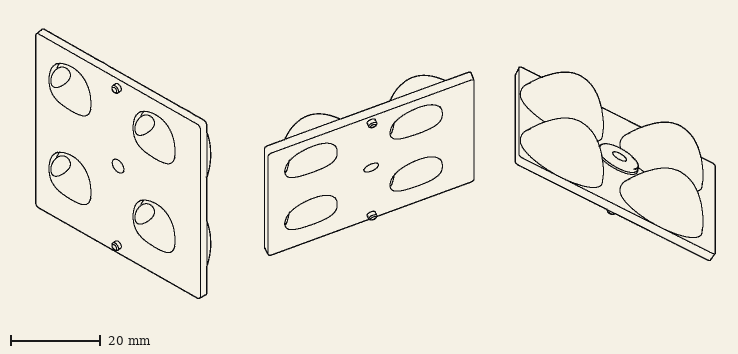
import cadquery as cq
import math

plate_size = 50.0
plate_thickness = 2.0
plate_corner_radius = 1.0
plate_draft_angle = 3.0

pin_diameter = 2.0
pin_length = 1.25
pin_tip_chamfer = 0.3
pin_offset = 22.5

hole_diameter = 3.5
boss_diameter = 10.0
boss_height = 1.1
boss_rim_radius = 0.35
boss_foot_height = 0.35
boss_foot_width = 0.25

lens_pitch = 25.4

dome_height = 9.7
dome = {
    "height": plate_thickness + dome_height,
    "base": plate_thickness,
    "centre": (1.7, -3.4),
    "apex_shift": (0.0, 0.0),
    "reach": {"right": 10.3, "up": 14.0, "left": 10.6, "down": 8.9},
    "fullness": {"right": 1.0, "up": 1.2, "left": 1.2, "down": 3.5},
    "squareness": {"up": 2.0, "down": 2.0},
}
cavity = {
    "height": 5.0,
    "base": 0.0,
    "centre": (-1.15, 0.9),
    "apex_shift": (0.0, 1.3),
    "reach": {"right": 5.64, "up": 7.2, "left": 6.95, "down": 5.39},
    "fullness": {"right": 1.8, "up": 2.0, "left": 2.0, "down": 1.0},
    "squareness": {"up": 2.2, "down": 2.8},
}
level_count = 7
points_per_section = 16

facet_mouth_end = (-8.0, 0.8)
facet_deep_end = (-5.1, 4.2)
facet_centre_z = 1.1
facet_tilt = 0.12
facet_cutter_size = 20.0


def signed_power(value, exponent):
    return math.copysign(abs(value) ** exponent, value)


def section_point(shape, level, angle):
    """Point of the cross-section at a level (0 = base, 1 = apex), at an angle in the XZ plane."""
    side_x = "right" if math.cos(angle) >= 0 else "left"
    side_z = "up" if math.sin(angle) >= 0 else "down"
    shrink_x = math.sqrt(1 - level ** shape["fullness"][side_x])
    shrink_z = math.sqrt(1 - level ** shape["fullness"][side_z])
    exponent = 2 / shape["squareness"][side_z]
    offset_x = shape["reach"][side_x] * shrink_x * signed_power(math.cos(angle), exponent)
    offset_z = shape["reach"][side_z] * shrink_z * signed_power(math.sin(angle), exponent)
    return cq.Vector(
        shape["centre"][0] + shape["apex_shift"][0] * level + offset_x,
        shape["base"] + (shape["height"] - shape["base"]) * level,
        shape["centre"][1] + shape["apex_shift"][1] * level + offset_z,
    )


def section_wire(shape, level):
    step = 2 * math.pi / points_per_section
    points = [section_point(shape, level, step * (i + 0.5)) for i in range(points_per_section)]
    return cq.Wire.assembleEdges([cq.Edge.makeSpline(points, periodic=True)])


def freeform_solid(shape):
    """Rounded freeform solid, lofted from its flat base up to a single apex point."""
    levels = [math.sin(i * math.pi / 2 / level_count) for i in range(level_count)]
    sections = [section_wire(shape, level) for level in levels]
    apex = cq.Vertex.makeVertex(
        shape["centre"][0] + shape["apex_shift"][0],
        shape["height"],
        shape["centre"][1] + shape["apex_shift"][1],
    )
    return cq.Workplane(cq.occ_impl.shapes.loft(sections + [apex], cap=True))


def make_plate():
    """Drafted square plate; only its four slanting corner edges are rounded."""
    return (
        cq.Workplane("XZ", origin=(0, plate_thickness, 0))
        .rect(plate_size, plate_size)
        .extrude(plate_thickness, taper=plate_draft_angle)
        .edges("not(#Y or |X or |Z)")
        .fillet(plate_corner_radius)
    )


def make_boss():
    """Round boss on the back face, with a chamfered foot and a rounded rim."""
    radius = boss_diameter / 2
    top = plate_thickness + boss_height
    return (
        cq.Workplane("XY")
        .moveTo(0, plate_thickness)
        .lineTo(radius + boss_foot_width, plate_thickness)
        .lineTo(radius, plate_thickness + boss_foot_height)
        .lineTo(radius, top - boss_rim_radius)
        .radiusArc((radius - boss_rim_radius, top), -boss_rim_radius)
        .lineTo(0, top)
        .close()
        .revolve(360, (0, 0, 0), (0, 1, 0))
    )


def make_pin(z):
    return (
        cq.Workplane("XZ", origin=(0, 0, z))
        .circle(pin_diameter / 2)
        .extrude(pin_length)
        .faces("<Y")
        .chamfer(pin_tip_chamfer)
    )


def make_cavity():
    """Freeform cavity with the flat facet left standing on its left wall."""
    along_x = facet_deep_end[0] - facet_mouth_end[0]
    along_y = facet_deep_end[1] - facet_mouth_end[1]
    lean_z = facet_tilt * math.hypot(along_x, along_y)
    facet_plane = cq.Plane(
        origin=(facet_mouth_end[0], facet_mouth_end[1], facet_centre_z),
        xDir=(along_x, along_y, 0),
        normal=(-along_y, along_x, -lean_z),
    )
    beyond_facet = cq.Workplane(facet_plane).box(
        facet_cutter_size, facet_cutter_size, facet_cutter_size, centered=(True, True, False)
    )
    return freeform_solid(cavity).cut(beyond_facet)


def make_hole():
    """Cutter for the centre hole, long enough to clear the tops of the domes."""
    return cq.Workplane("XZ").circle(hole_diameter / 2).extrude(-dome["height"])


lens_centres = [-lens_pitch / 2, lens_pitch / 2]
lens_places = [(x, 0, z) for x in lens_centres for z in lens_centres]
dome_solid = freeform_solid(dome)
cavity_solid = make_cavity()

result = make_plate().union(make_boss())
for place in lens_places:
    result = result.union(dome_solid.translate(place))
for place in lens_places:
    result = result.cut(cavity_solid.translate(place))
for pin_z in (-pin_offset, pin_offset):
    result = result.union(make_pin(pin_z))
result = result.cut(make_hole())